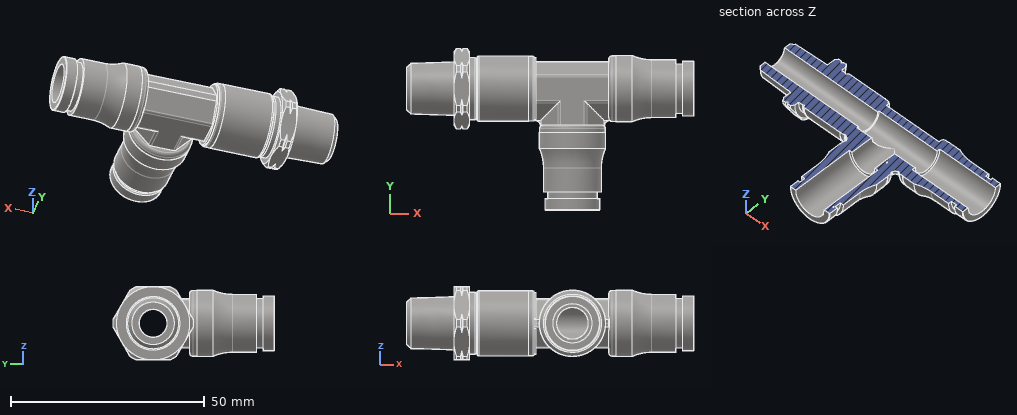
import cadquery as cq
import math


socket_reach = 31.5
overall_length = 74.49
overall_width = 41.96
hub_half = 9.4

cap_radius = 7.13
cap_length = 3.0
cap_edge_chamfer = 0.15
neck_radius = 6.45
neck_length = 1.7
sleeve_radius = 7.53
sleeve_start = 20.5
flare_start = 15.45
flare_radius = 8.62
collar_end = 11.3
collar_radius = 8.55
collar_fillet = 0.9
tube_radius = 5.07
tube_depth = 20.0
passage_radius = 4.09

hex_start = -30.7
hex_end = -26.6
across_flats = 19.0
hex_tip_radius = overall_width - socket_reach
hex_chamfer_length = 0.67
hex_groove_depth = 0.56
hex_groove_half_width = 0.35

stub_tip_x = socket_reach - overall_length
stub_bore_radius = 3.58
stub_tip_radius = 5.5
stub_chamfer_length = 1.2
thread_small_radius = 6.6
thread_taper = 1 / 32

barrel_radius = 8.5
barrel_shoulder_radius = 8.35
barrel_start = -24.65
barrel_lead_end = -24.2
barrel_rim_radius = 8.45
barrel_rim_start = -11.4
barrel_bevel_start = -10.3
barrel_bevel_radius = 8.35
barrel_spigot_start = -9.9
barrel_spigot_radius = 8.05
shank_radius = 8.08
undercut_radius = 7.85
undercut_start = -25.3
undercut_end = -24.85

block_half_height = 6.4
block_top_half_width = 3.45
block_back = 7.0
block_slope_foot = 8.2
block_edge_fillet = 0.9
web_half_thickness = 1.0
web_corner_radius = 1.0
round_overlap = 0.5


def revolve_about_x(profile):
    return profile.close().revolve(360, (0, 0, 0), (1, 0, 0))


def socket_body():
    """Outside of a push-in socket pointing along +X."""
    neck_end = socket_reach - cap_length
    neck_start = neck_end - neck_length
    flare_length = sleeve_start - flare_start
    flare_drop = flare_radius - sleeve_radius
    flare_arc_radius = (flare_length**2 + flare_drop**2) / (2 * flare_drop)
    profile = (
        cq.Workplane("XY")
        .moveTo(hub_half, 0)
        .lineTo(hub_half, collar_radius - collar_fillet)
        .tangentArcPoint((hub_half + collar_fillet, collar_radius), relative=False)
        .lineTo(collar_end, collar_radius)
        .lineTo(collar_end, flare_radius)
        .lineTo(flare_start, flare_radius)
        .radiusArc((sleeve_start, sleeve_radius), -flare_arc_radius)
        .lineTo(neck_start, sleeve_radius)
        .lineTo(neck_start, neck_radius)
        .lineTo(neck_end, neck_radius)
        .lineTo(neck_end, cap_radius)
        .lineTo(socket_reach - cap_edge_chamfer, cap_radius)
        .lineTo(socket_reach, cap_radius - cap_edge_chamfer)
        .lineTo(socket_reach, 0)
    )
    return revolve_about_x(profile)


def socket_bore():
    """Tube seat and narrower passage reaching the tee centre, along +X."""
    seat_start = socket_reach - tube_depth
    passage = cq.Workplane("YZ").circle(passage_radius).extrude(socket_reach)
    seat = cq.Workplane("YZ", origin=(seat_start, 0, 0)).circle(tube_radius).extrude(tube_depth)
    return passage.union(seat)


def to_branch(shape):
    """Turn a shape from +X to -Y."""
    return shape.rotate((0, 0, 0), (0, 0, 1), -90)


def stub():
    """Tapered thread blank ending at the face of the hexagon."""
    thread_start = stub_tip_x + stub_chamfer_length
    thread_end_radius = thread_small_radius + (hex_start - thread_start) * thread_taper
    profile = (
        cq.Workplane("XY")
        .moveTo(stub_tip_x, 0)
        .lineTo(stub_tip_x, stub_tip_radius)
        .lineTo(thread_start, thread_small_radius)
        .lineTo(hex_start, thread_end_radius)
        .lineTo(hex_start, 0)
    )
    return revolve_about_x(profile)


def hexagon():
    """Hexagon with chamfered corners and a V groove around the middle of them."""
    length = hex_end - hex_start
    middle = (hex_start + hex_end) / 2
    face_radius = across_flats / 2
    corner_distance = across_flats / math.cos(math.pi / 6)
    prism = (
        cq.Workplane("YZ", origin=(hex_start, 0, 0))
        .polygon(6, corner_distance)
        .extrude(length)
    )
    envelope = revolve_about_x(
        cq.Workplane("XY")
        .moveTo(hex_start, 0)
        .lineTo(hex_start, face_radius)
        .lineTo(hex_start + hex_chamfer_length, hex_tip_radius)
        .lineTo(middle - hex_groove_half_width, hex_tip_radius)
        .lineTo(middle, hex_tip_radius - hex_groove_depth)
        .lineTo(middle + hex_groove_half_width, hex_tip_radius)
        .lineTo(hex_end - hex_chamfer_length, hex_tip_radius)
        .lineTo(hex_end, face_radius)
        .lineTo(hex_end, 0)
    )
    return prism.intersect(envelope)


def barrel():
    """Round swivel body between the hexagon and the tee block."""
    profile = (
        cq.Workplane("XY")
        .moveTo(hex_end, 0)
        .lineTo(hex_end, shank_radius)
        .lineTo(undercut_start, shank_radius)
        .lineTo(undercut_end, undercut_radius)
        .lineTo(barrel_start, barrel_shoulder_radius)
        .lineTo(barrel_lead_end, barrel_radius)
        .lineTo(barrel_rim_start, barrel_radius)
        .lineTo(barrel_rim_start, barrel_rim_radius)
        .lineTo(barrel_bevel_start, barrel_rim_radius)
        .lineTo(barrel_spigot_start, barrel_bevel_radius)
        .lineTo(barrel_spigot_start, barrel_spigot_radius)
        .lineTo(-hub_half, barrel_spigot_radius)
        .lineTo(-hub_half, 0)
    )
    return revolve_about_x(profile)


def ridge(start, end, back_foot):
    """Flat-topped bar along X; its sloping sides end at y = -block_slope_foot and y = back_foot."""
    return (
        cq.Workplane("YZ", origin=(start, 0, 0))
        .moveTo(-block_top_half_width, block_half_height)
        .lineTo(block_top_half_width, block_half_height)
        .lineTo(back_foot, web_half_thickness)
        .lineTo(back_foot, -web_half_thickness)
        .lineTo(block_top_half_width, -block_half_height)
        .lineTo(-block_top_half_width, -block_half_height)
        .lineTo(-block_slope_foot, -web_half_thickness)
        .lineTo(-block_slope_foot, web_half_thickness)
        .close()
        .extrude(end - start)
    )


def web():
    """Thin plate filling the two inner corners, with rounded-out ends."""
    plate = cq.Workplane("XY").box(
        2 * hub_half, hub_half, 2 * web_half_thickness
    ).translate((0, -hub_half / 2, 0))
    corners = [(-hub_half, -hub_half), (hub_half, -hub_half)]
    scoops = (
        cq.Workplane("XY")
        .pushPoints(corners)
        .circle(web_corner_radius)
        .extrude(web_half_thickness, both=True)
    )
    return plate.cut(scoops)


def tee_block():
    reach = hub_half + round_overlap
    run = ridge(-reach, reach, block_back)
    branch = to_branch(ridge(0, reach, block_slope_foot))
    block = run.union(branch)
    rims = block.faces("|Z").edges(
        cq.selectors.BoxSelector(
            (-hub_half, -hub_half, -2 * block_half_height),
            (hub_half, hub_half, 2 * block_half_height),
        )
    )
    return rims.fillet(block_edge_fillet).union(web())


def bores():
    """Both socket bores, the run passage through the tee, and the stub bore up to it."""
    run_passage = (
        cq.Workplane("YZ", origin=(-hub_half, 0, 0)).circle(passage_radius).extrude(hub_half)
    )
    stub_bore = (
        cq.Workplane("YZ", origin=(stub_tip_x, 0, 0))
        .circle(stub_bore_radius)
        .extrude(-stub_tip_x)
    )
    run_bore = socket_bore().union(run_passage).union(stub_bore)
    return run_bore.union(to_branch(socket_bore()))


body = tee_block()
for piece in (stub(), hexagon(), barrel(), socket_body(), to_branch(socket_body())):
    body = body.union(piece)
result = body.cut(bores())